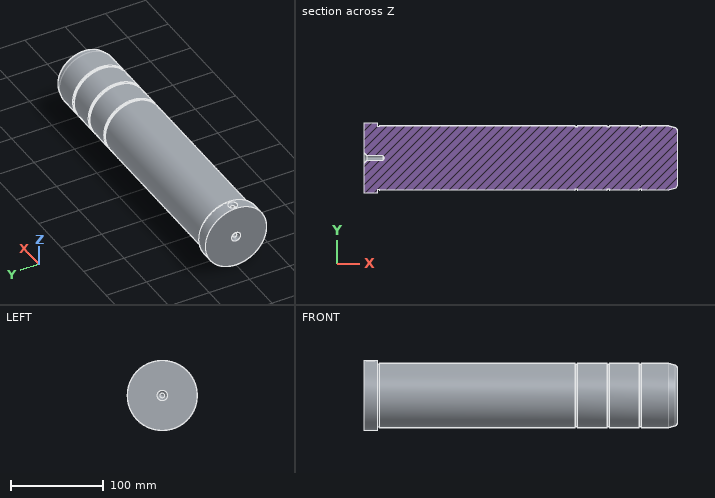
import cadquery as cq
import math

length = 340.0
head_diameter = 76.0
head_radius = head_diameter / 2
head_length = 15.0
shaft_diameter = 70.0
shaft_radius = shaft_diameter / 2

relief_width = 2.0
relief_depth = 0.7

groove_count = 3
groove_width = 3.0
groove_depth = 1.0
groove_flank_width = 0.7
first_groove_x = 230.2
groove_pitch = 34.7

taper_length = 10.0
taper_angle = 15
end_fillet = 4.0

hole_diameter = 5.0
countersink_diameter = 11.2
countersink_angle = 90
drill_point_angle = 118
end_hole_depth = 20.5
side_hole_depth = 13.5


def make_body():
    """Revolve the head and shaft about X, then round the end edge."""
    taper_drop = taper_length * math.tan(math.radians(taper_angle))
    body = (
        cq.Workplane("XY")
        .lineTo(0, head_radius)
        .lineTo(head_length, head_radius)
        .lineTo(head_length, shaft_radius - relief_depth)
        .lineTo(head_length + relief_width, shaft_radius - relief_depth)
        .lineTo(head_length + relief_width, shaft_radius)
        .lineTo(length - taper_length, shaft_radius)
        .lineTo(length, shaft_radius - taper_drop)
        .lineTo(length, 0)
        .close()
        .revolve(360, (0, 0, 0), (1, 0, 0))
    )
    return body.faces(">X").edges().fillet(end_fillet)


def groove_cutter(center_x):
    """Trapezoidal ring, narrowing towards the groove floor."""
    half_width = groove_width / 2
    half_floor = half_width - groove_flank_width
    floor_radius = shaft_radius - groove_depth
    return (
        cq.Workplane("XY")
        .moveTo(center_x - half_width, head_radius)
        .lineTo(center_x - half_width, shaft_radius)
        .lineTo(center_x - half_floor, floor_radius)
        .lineTo(center_x + half_floor, floor_radius)
        .lineTo(center_x + half_width, shaft_radius)
        .lineTo(center_x + half_width, head_radius)
        .close()
        .revolve(360, (0, 0, 0), (1, 0, 0))
    )


def hole_cutter(depth):
    """Countersunk drilled hole along -Z, with its mouth centred on the origin."""
    hole_radius = hole_diameter / 2
    sink_radius = countersink_diameter / 2
    sink_depth = (sink_radius - hole_radius) / math.tan(math.radians(countersink_angle / 2))
    point_length = hole_radius / math.tan(math.radians(drill_point_angle / 2))
    return (
        cq.Workplane("XZ")
        .lineTo(sink_radius, 0)
        .lineTo(hole_radius, -sink_depth)
        .lineTo(hole_radius, -depth)
        .lineTo(0, -depth - point_length)
        .close()
        .revolve(360, (0, 0, 0), (0, 1, 0))
    )


result = make_body()

for index in range(groove_count):
    result = result.cut(groove_cutter(first_groove_x + index * groove_pitch))

end_hole = hole_cutter(end_hole_depth).rotate((0, 0, 0), (0, 1, 0), -90)
result = result.cut(end_hole)

side_hole = hole_cutter(side_hole_depth).translate((head_length / 2, 0, head_radius))
result = result.cut(side_hole)